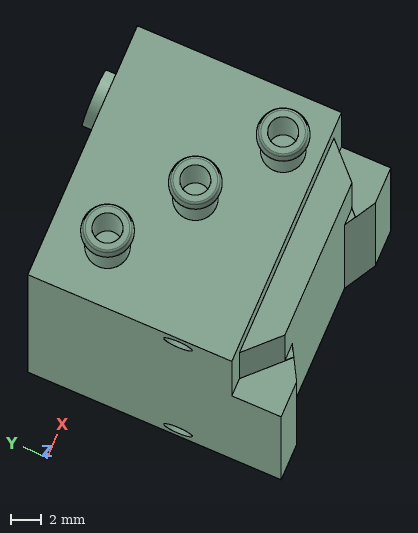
import cadquery as cq

width = 18.0
depth = 18.0
total_height = 40.3
tube_height = 6.3
block_height = total_height - tube_height

channel_depth = 1.25
rail_flat_width = 2.55
rail_foot_width = 4.7

recess_depth = 3.5
tongue_top_drop = 3.0
shoulder_drop = 12.0
tongue_root_inset = 1.25
rail_tip_rise = 0.15

tube_diameter = 3.0
barb_diameter = 3.5
barb_tip_diameter = 3.22
bore_diameter = 2
barb_height = 1.0
barb_rim_height = 0.15
tip_rounding = 0.15
tube_step_x = 5.2
tube_step_y = 4.0
middle_tube_y = depth - 8.0

hole_diameter = 2
hole_y = depth - 10.68
hole_end_distance = 2.05
pin_diameter = 4.0
pin_length = 1.57
pin_x = width / 2 - 3.43
pin_z = block_height - 12.0

shoulder_z = block_height - shoulder_drop
rail_tip_z = shoulder_z + rail_tip_rise
tongue_top_z = block_height - tongue_top_drop


def box(size_y, bottom_z, top_z):
    """Full-width box reaching size_y back from the front plane."""
    return (
        cq.Workplane("XY", origin=(0, 0, bottom_z))
        .box(width, size_y, top_z - bottom_z, centered=(True, False, False))
    )


def symmetric_prism(front_half, back_half, front_y, back_y, bottom_z, top_z):
    """Vertical prism with a trapezoid section symmetric about X = 0."""
    return (
        cq.Workplane("XY", origin=(0, 0, bottom_z))
        .moveTo(-front_half, front_y)
        .lineTo(front_half, front_y)
        .lineTo(back_half, back_y)
        .lineTo(-back_half, back_y)
        .close()
        .extrude(top_z - bottom_z)
    )


def make_channel():
    return symmetric_prism(
        width / 2 - rail_flat_width, width / 2 - rail_foot_width,
        0, channel_depth, 0, block_height,
    )


def make_front_recess():
    """Upper front cut that leaves the tongue and the small raised rail tips."""
    root_half = width / 2 - tongue_root_inset
    tongue = symmetric_prism(
        root_half - recess_depth, root_half, 0, recess_depth, shoulder_z, tongue_top_z
    )
    tip_clearance = box(channel_depth, rail_tip_z, block_height)
    return box(recess_depth, shoulder_z, block_height).cut(tongue).union(tip_clearance)


def make_tube(x, y):
    """Barbed tube, revolved about its own vertical axis."""
    barb_z = tube_height - barb_height
    bore_radius = bore_diameter / 2
    tip_radius = barb_tip_diameter / 2
    return (
        cq.Workplane("XZ")
        .moveTo(bore_radius, 0)
        .lineTo(tube_diameter / 2, 0)
        .lineTo(tube_diameter / 2, barb_z)
        .lineTo(barb_diameter / 2, barb_z)
        .lineTo(barb_diameter / 2, barb_z + barb_rim_height)
        .lineTo(tip_radius, tube_height - tip_rounding)
        .radiusArc((tip_radius - tip_rounding, tube_height), -tip_rounding)
        .lineTo(bore_radius, tube_height)
        .close()
        .revolve(360, (0, 0, 0), (0, 1, 0))
        .translate((x, y, block_height))
    )


def make_cross_hole(z):
    return (
        cq.Workplane("YZ", origin=(-width / 2, hole_y, z))
        .circle(hole_diameter / 2)
        .extrude(width)
    )


def make_pin():
    return (
        cq.Workplane("XZ", origin=(pin_x, depth, pin_z))
        .circle(pin_diameter / 2)
        .extrude(-pin_length)
    )


result = box(depth, 0, block_height).cut(make_channel()).cut(make_front_recess())
for hole_z in (hole_end_distance, block_height - hole_end_distance):
    result = result.cut(make_cross_hole(hole_z))
for step in (-1, 0, 1):
    result = result.union(make_tube(step * tube_step_x, middle_tube_y - step * tube_step_y))
result = result.union(make_pin())